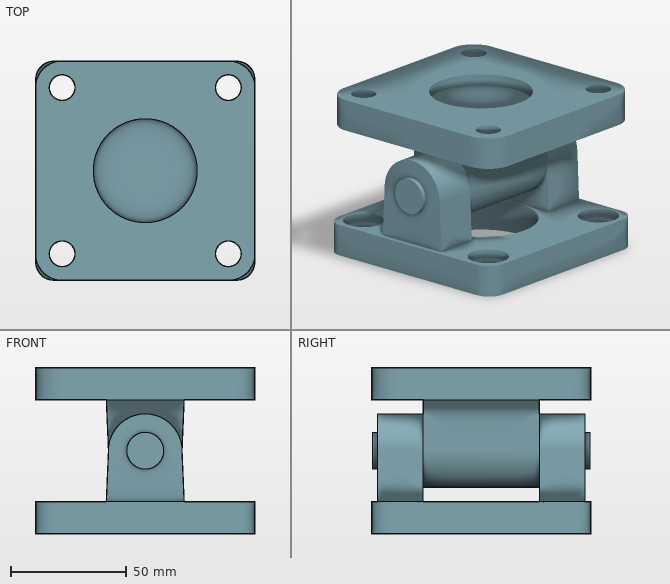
import cadquery as cq
import math

plate_side = 95.0
plate_thickness = 14.0
total_height = 72.0
lower_corner_radius = 8.0
upper_corner_radius = 11.4

bolt_spacing = 72.0
bolt_diameter = 11.0
counterbore_diameter = 18.05
counterbore_depth = 4.0

lower_bore_diameter = 50.0
upper_recess_diameter = 45.0
upper_recess_depth = 5.0

pin_diameter = 16.0
pin_length = 94.2
lug_radius = 16.0
lug_base_width = 33.8
tongue_width = 50.35
clevis_width = 90.1
ear_thickness = (clevis_width - tongue_width) / 2
pivot_height = total_height / 2
upper_plate_bottom = total_height - plate_thickness


def cylinder_along_y(diameter, length):
    """Cylinder on the pivot axis, centred on Y = 0."""
    return (
        cq.Workplane("XZ", origin=(0, length / 2, pivot_height))
        .circle(diameter / 2)
        .extrude(length)
    )


def plate(bottom, corner_radius):
    """Square plate with rounded corners."""
    return (
        cq.Workplane("XY", origin=(0, 0, bottom))
        .rect(plate_side, plate_side)
        .extrude(plate_thickness)
        .edges("|Z")
        .fillet(corner_radius)
    )


def bolt_points(plane_height):
    """Workplane carrying the four bolt positions."""
    return cq.Workplane("XY", origin=(0, 0, plane_height)).rect(
        bolt_spacing, bolt_spacing, forConstruction=True
    ).vertices()


def bolt_holes(bottom):
    """Cutters for the through holes of one plate."""
    return bolt_points(bottom).circle(bolt_diameter / 2).extrude(plate_thickness)


def lug(y_centre, width):
    """Upright lug whose straight flanks run tangent into its round end."""
    half_base = lug_base_width / 2
    rise = pivot_height - plate_thickness
    tangent_angle = math.acos(lug_radius / math.hypot(half_base, rise)) - math.atan2(rise, half_base)
    tangent_x = lug_radius * math.cos(tangent_angle)
    tangent_z = pivot_height + lug_radius * math.sin(tangent_angle)
    return (
        cq.Workplane("XZ", origin=(0, y_centre + width / 2, 0))
        .moveTo(-half_base, plate_thickness)
        .lineTo(half_base, plate_thickness)
        .lineTo(tangent_x, tangent_z)
        .threePointArc((0, pivot_height + lug_radius), (-tangent_x, tangent_z))
        .close()
        .extrude(width)
    )


def make_clevis():
    """Lower plate with two ears and the hinge pin fixed between them."""
    body = plate(0, lower_corner_radius)
    body = body.cut(bolt_holes(0))
    counterbores = (
        bolt_points(plate_thickness)
        .circle(counterbore_diameter / 2)
        .extrude(-counterbore_depth)
    )
    bore = cq.Workplane("XY").circle(lower_bore_diameter / 2).extrude(plate_thickness)
    body = body.cut(counterbores).cut(bore)
    for side in (-1, 1):
        ear_centre = side * (tongue_width + ear_thickness) / 2
        body = body.union(lug(ear_centre, ear_thickness))
    return body.union(cylinder_along_y(pin_diameter, pin_length))


def make_tongue():
    """Upper plate with a hanging lug bored for the pin."""
    body = plate(upper_plate_bottom, upper_corner_radius)
    recess = (
        cq.Workplane("XY", origin=(0, 0, total_height))
        .circle(upper_recess_diameter / 2)
        .extrude(-upper_recess_depth)
    )
    body = body.cut(bolt_holes(upper_plate_bottom)).cut(recess)
    hanging_lug = lug(0, tongue_width).mirror("XY", (0, 0, pivot_height))
    pin_bore = cylinder_along_y(pin_diameter, tongue_width)
    return body.union(hanging_lug).cut(pin_bore)


clevis = make_clevis()
tongue = make_tongue()
result = cq.Compound.makeCompound([clevis.val(), tongue.val()])